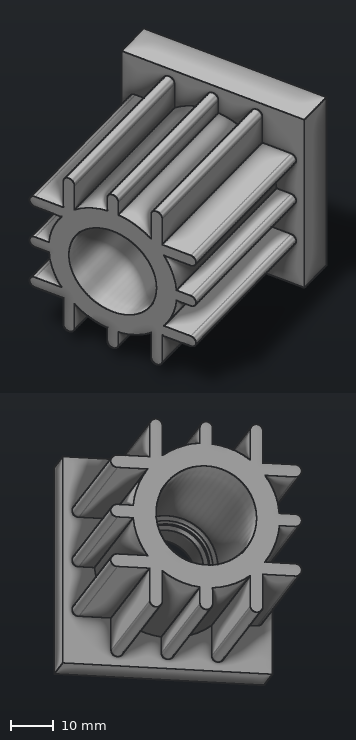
import cadquery as cq

TOTAL_LENGTH = 55.0
PLATE_SIDE = 50.0
PLATE_THICKNESS = 10.0
BODY_LENGTH = TOTAL_LENGTH - PLATE_THICKNESS

TUBE_RADIUS = 17.5
BORE_RADIUS = 12.0
FIN_THICKNESS = 3.0
FIN_REACH = 22.75
FIN_OFFSET = 12.0

BUSHING_RADIUS = 10.8
RECESS_RADIUS = 10.0
RECESS_DEPTH = 1.0
HOLE_RADIUS = 8.75


def section_plane(y):
    """XZ workplane at the given Y, extruding toward +Y, with local Y along -Z."""
    return cq.Workplane(cq.Plane(origin=(0, y, 0), xDir=(1, 0, 0), normal=(0, 1, 0)))


def cylinder(radius, start, length):
    return section_plane(start).circle(radius).extrude(length)


def fin_bar(offset, angle):
    """Round-ended bar across the whole tube; its two ends form opposite fins."""
    return (
        section_plane(0)
        .center(0, offset)
        .slot2D(2 * FIN_REACH, FIN_THICKNESS)
        .extrude(BODY_LENGTH)
        .rotate((0, 0, 0), (0, 1, 0), angle)
    )


def make_housing():
    body = cylinder(TUBE_RADIUS, 0, BODY_LENGTH)
    for angle in (0, 90):
        for offset in (-FIN_OFFSET, 0, FIN_OFFSET):
            body = body.union(fin_bar(offset, angle))
    plate = section_plane(BODY_LENGTH).rect(PLATE_SIDE, PLATE_SIDE).extrude(PLATE_THICKNESS)
    body = body.union(plate)
    body = body.cut(cylinder(BORE_RADIUS, 0, BODY_LENGTH))
    return body.cut(cylinder(BUSHING_RADIUS, BODY_LENGTH, PLATE_THICKNESS))


def make_bushing():
    bushing = cylinder(BUSHING_RADIUS, BODY_LENGTH, PLATE_THICKNESS)
    bushing = bushing.cut(cylinder(RECESS_RADIUS, BODY_LENGTH, RECESS_DEPTH))
    return bushing.cut(cylinder(HOLE_RADIUS, BODY_LENGTH, PLATE_THICKNESS))


housing = make_housing()
bushing = make_bushing()
result = cq.Compound.makeCompound([housing.val(), bushing.val()])